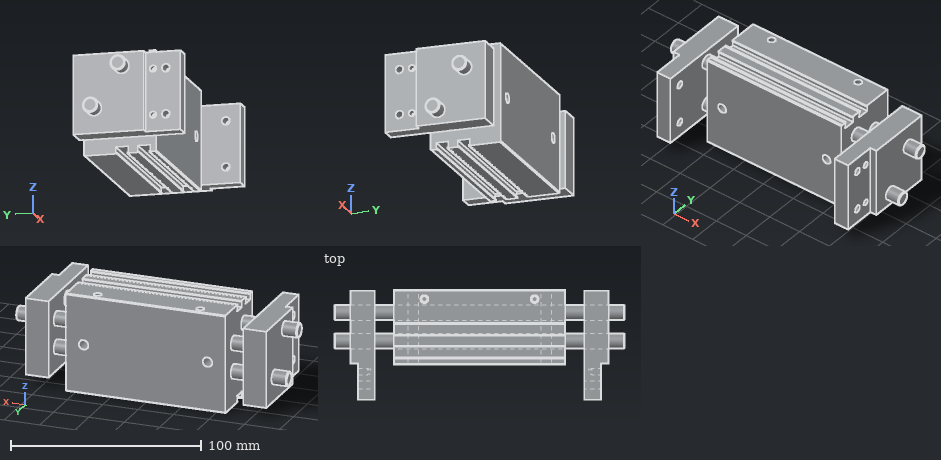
import cadquery as cq
import math

overall_length = 153.0
overall_depth = 58.0
overall_height = 55.0

housing_length = 90.0
housing_depth = 39.5
housing_back = overall_depth / 2
housing_front = housing_back - housing_depth
housing_mid_y = (housing_back + housing_front) / 2
edge_chamfer = 0.5

slot_first_y = 8.1
slot_pitch = 12.0
slot_centers_y = [slot_first_y, slot_first_y - slot_pitch]
slot_mouth_width = 5.5
slot_inner_width = 6.7
slot_depth = 3.7
slot_lip = 0.5

mounting_hole_diameter = 5.3
mounting_hole_spacing = 70.0
port_diameter = 4.2
port_spacing = 58.0
port_y = 24.0
port_depth = 6.0
port_bottom_chamfer = 0.6

plate_inner_x = 55.0
plate_thickness = 13.0
plate_height = 43.0
plate_inset = 0.5
plate_back = housing_back - plate_inset
plate_step_y = housing_front + plate_inset
finger_thickness = 9.0
finger_tip_y = -overall_depth / 2

finger_hole_spacing = 25.0
pin_hole_y = -21.0
pin_hole_diameter = 4.2
screw_hole_y = -14.0
screw_hole_diameter = 3.4
screw_hole_core_diameter = 2.5
screw_hole_depth = 5.0
screw_hole_core_length = 1.5
drill_point_angle = 118.0

rod_diameter = 8.0
rod_chamfer = 0.5
rod_end_x = overall_length / 2
right_jaw_rods = [(2.0, 14.0), (17.0, -8.0)]
left_jaw_rods = [(y, -z) for y, z in right_jaw_rods]


def box_between(x_range, y_range, z_range):
    """Box that spans the given (low, high) range along each axis."""
    sizes = [high - low for low, high in (x_range, y_range, z_range)]
    corner = (x_range[0], y_range[0], z_range[0])
    return cq.Workplane("XY").box(*sizes, centered=False).translate(corner)


def cylinder_along_x(points, diameter, start_x, end_x):
    """Round bars along X through the given (y, z) points."""
    return (
        cq.Workplane("YZ", origin=(start_x, 0, 0))
        .pushPoints(points)
        .circle(diameter / 2)
        .extrude(end_x - start_x)
    )


def slot_cutter(center_y, side):
    """T-shaped slot on the top (side = 1) or bottom (side = -1) of the housing."""
    outer = side * overall_height / 2
    lip = outer - side * slot_lip
    floor = outer - side * slot_depth
    x_range = (-housing_length / 2, housing_length / 2)

    def channel(width, z_a, z_b):
        y_range = (center_y - width / 2, center_y + width / 2)
        return box_between(x_range, y_range, (min(z_a, z_b), max(z_a, z_b)))

    mouth = channel(slot_mouth_width, outer, floor)
    return mouth.union(channel(slot_inner_width, lip, floor))


def port_cutter():
    """Two blind ports going down from the top face, each narrowing to a small flat bottom."""
    places = [(side * port_spacing / 2, port_y) for side in (-1, 1)]
    ports = (
        cq.Workplane("XY", origin=(0, 0, overall_height / 2))
        .pushPoints(places)
        .circle(port_diameter / 2)
        .extrude(-port_depth)
    )
    return ports.faces("<Z").chamfer(port_bottom_chamfer)


def make_housing():
    body = cq.Workplane("XY").box(housing_length, housing_depth, overall_height)
    body = body.translate((0, housing_mid_y, 0))
    body = body.edges("|X").chamfer(edge_chamfer)
    for side in (1, -1):
        for center_y in slot_centers_y:
            body = body.cut(slot_cutter(center_y, side))

    mounting_places = [(side * mounting_hole_spacing / 2, 0) for side in (-1, 1)]
    mounting_holes = (
        cq.Workplane("XZ", origin=(0, housing_back, 0))
        .pushPoints(mounting_places)
        .circle(mounting_hole_diameter / 2)
        .extrude(housing_depth)
    )
    rod_bores = cylinder_along_x(
        right_jaw_rods + left_jaw_rods, rod_diameter, -housing_length / 2, housing_length / 2
    )
    return body.cut(mounting_holes).cut(port_cutter()).cut(rod_bores)


def make_plate():
    """Stepped plate of the +X jaw, with its finger holes."""
    outer_x = plate_inner_x + plate_thickness
    finger_outer_x = plate_inner_x + finger_thickness
    plate = (
        cq.Workplane("XY", origin=(0, 0, -plate_height / 2))
        .moveTo(plate_inner_x, plate_back)
        .lineTo(outer_x, plate_back)
        .lineTo(outer_x, plate_step_y)
        .lineTo(finger_outer_x, plate_step_y)
        .lineTo(finger_outer_x, finger_tip_y)
        .lineTo(plate_inner_x, finger_tip_y)
        .close()
        .extrude(plate_height)
    )
    heights = [side * finger_hole_spacing / 2 for side in (-1, 1)]
    pin_holes = cylinder_along_x(
        [(pin_hole_y, z) for z in heights], pin_hole_diameter, plate_inner_x, finger_outer_x
    )
    return plate.cut(pin_holes).cut(screw_hole_cutter(finger_outer_x, heights))


def screw_hole_cutter(surface_x, heights):
    """Blind holes entering the finger's outer face, narrowing to a core with a drill point."""
    radius = screw_hole_diameter / 2
    core_radius = screw_hole_core_diameter / 2
    neck_length = radius - core_radius
    point_length = core_radius / math.tan(math.radians(drill_point_angle / 2))
    shoulder_x = surface_x - screw_hole_depth
    core_end_x = shoulder_x - screw_hole_core_length
    drill = (
        cq.Workplane("XY")
        .moveTo(surface_x, 0)
        .lineTo(surface_x, radius)
        .lineTo(shoulder_x, radius)
        .lineTo(shoulder_x - neck_length, core_radius)
        .lineTo(core_end_x, core_radius)
        .lineTo(core_end_x - point_length, 0)
        .close()
        .revolve(360, (0, 0, 0), (1, 0, 0))
    )
    cutter = cq.Workplane("XY")
    for z in heights:
        cutter = cutter.add(drill.translate((0, screw_hole_y, z)))
    return cutter.combine()


def make_right_jaw():
    """Plate with two rods that reach through the housing and out past the other plate."""
    other_rod_holes = cylinder_along_x(
        left_jaw_rods, rod_diameter, plate_inner_x, plate_inner_x + plate_thickness
    )
    rods = cylinder_along_x(
        right_jaw_rods, rod_diameter, -rod_end_x, plate_inner_x + plate_thickness
    )
    rods = rods.faces("<X").chamfer(rod_chamfer)
    return make_plate().cut(other_rod_holes).union(rods)


housing = make_housing()
jaws = [make_right_jaw().rotate((0, 0, 0), (0, 1, 0), turn) for turn in (0, 180)]

result = cq.Compound.makeCompound([housing.val()] + [jaw.val() for jaw in jaws])